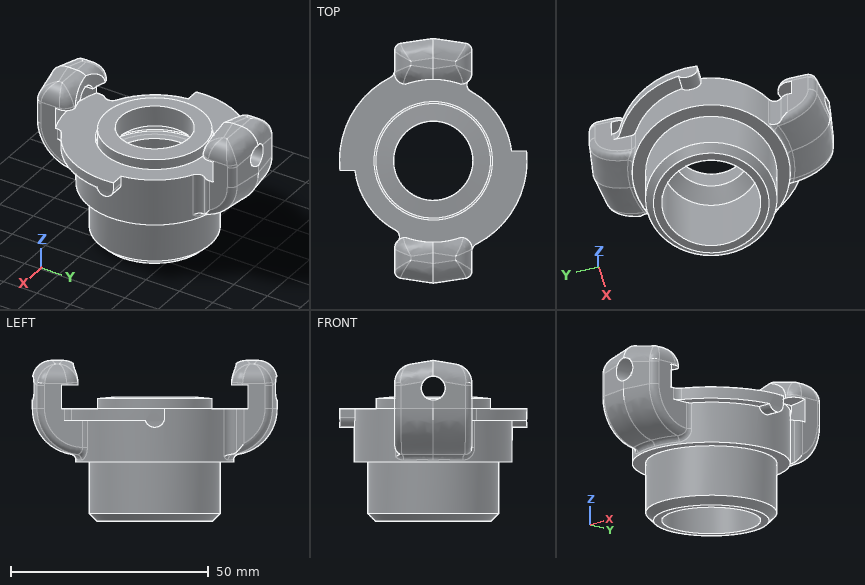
import cadquery as cq
import math

TOLERANCE = 0.01

SHOULDER_Z = 15.0
FLANGE_TOP_Z = 28.5
FLANGE_THICKNESS = 3.0
TOTAL_HEIGHT = 40.78

HUB_RADIUS = 20.0
SPIGOT_RADIUS = 33.25 / 2
SPIGOT_CHAMFER = 2.0
BORE_RADIUS = 12.5
SEAT_Z = 20.4
SEAT_CONE_RADIUS = 14.1
SEAT_CONE_DEPTH = 0.3
POCKET_RADIUS = 35.0 / 2
POCKET_TOP_Z = 26.0
MOUTH_RADIUS = 15.0

FLANGE_RADIUS = 47.5 / 2
FLANGE_BOTTOM_Z = FLANGE_TOP_Z - FLANGE_THICKNESS
NUB_RADIUS = 2.5
NUB_DEPTH = 4.7
NUB_Z = FLANGE_TOP_Z - NUB_DEPTH + NUB_RADIUS

CLAW_HALF_WIDTH = 9.8
CLAW_REACH = 31.0
CLAW_TIP_Y = -18.3
CLAW_ROOT_Y = -17.0
ROOT_ALLOWANCE = 2.0
CLAW_LEAN = 0.15
ROOF_SLOPE = 0.17
BACK_ARC_RADIUS = 11.7
BACK_ARC_Z = FLANGE_TOP_Z
CLAW_BOTTOM_Z = BACK_ARC_Z - BACK_ARC_RADIUS
ROOF_RADIUS = 5.0
OUTER_CORNER_RADIUS = 1.9
TIP_CORNER_RADIUS = 2.8
GAP_RADIUS = 25.5
TIP_TURNED_RADIUS = 20.6
GAP_TOP_Z = 34.5
GAP_MIDDLE_Z = (FLANGE_TOP_Z + GAP_TOP_Z) / 2
PIN_HOLE_RADIUS = 3.0
PIN_HOLE_Z = 33.7
HUB_BLEND_RADIUS = 1.4
FLANGE_BLEND_RADIUS = 2.0
RELIEF_HOLLOW_RADIUS = 2.0
RELIEF_ROUND_RADIUS = 3.0
RELIEF_START_X = -9.6

SEAL_RADIUS = 29.0 / 2
SEAL_FLANGE_RADIUS = 34.5 / 2
SEAL_BORE_RADIUS = 10.0
SEAL_RIM_Z = 31.1
SEAL_CREST_Z = 31.5
SEAL_BORE_END_Z = 25.55
SEAL_SKIRT_RADIUS = 15.6
SEAL_SKIRT_HEIGHT = 0.45



def oblique_prism(profile, direction):
    """Extrude a closed YZ outline along a direction that need not be square to it."""
    return cq.Workplane(cq.Solid.extrudeLinear(profile.val(), [], cq.Vector(*direction)))


def claw_half():
    """The +X half of a claw: back and tip face lean towards each other, and the roof falls to the side."""
    back_arc_end_y = -CLAW_REACH + BACK_ARC_RADIUS
    back = (
        cq.Workplane("YZ")
        .moveTo(-CLAW_REACH, TOTAL_HEIGHT)
        .lineTo(-CLAW_REACH, BACK_ARC_Z)
        .radiusArc((back_arc_end_y, CLAW_BOTTOM_Z), -BACK_ARC_RADIUS)
        .lineTo(CLAW_ROOT_Y, CLAW_BOTTOM_Z)
        .lineTo(CLAW_ROOT_Y, TOTAL_HEIGHT)
        .close()
    )
    lean = CLAW_LEAN * CLAW_HALF_WIDTH
    root_y = CLAW_ROOT_Y + ROOT_ALLOWANCE
    shoulder_z = TOTAL_HEIGHT - ROOF_RADIUS
    outer_roof = (
        cq.Workplane("YZ")
        .moveTo(-CLAW_REACH, 0)
        .lineTo(-CLAW_REACH, shoulder_z)
        .radiusArc((-CLAW_REACH + ROOF_RADIUS, TOTAL_HEIGHT), ROOF_RADIUS)
        .lineTo(CLAW_ROOT_Y, TOTAL_HEIGHT)
        .lineTo(CLAW_ROOT_Y, 0)
        .close()
    )
    inner_roof = (
        cq.Workplane("YZ")
        .moveTo(-CLAW_REACH, 0)
        .lineTo(-CLAW_REACH, TOTAL_HEIGHT)
        .lineTo(CLAW_TIP_Y - ROOF_RADIUS, TOTAL_HEIGHT)
        .radiusArc((CLAW_TIP_Y, shoulder_z), ROOF_RADIUS)
        .lineTo(CLAW_TIP_Y, GAP_MIDDLE_Z)
        .lineTo(root_y, GAP_MIDDLE_Z)
        .lineTo(root_y, 0)
        .close()
    )
    fall = ROOF_SLOPE * CLAW_HALF_WIDTH
    return (
        oblique_prism(back, (CLAW_HALF_WIDTH, lean, 0))
        .intersect(oblique_prism(outer_roof, (CLAW_HALF_WIDTH, lean, -fall)))
        .intersect(oblique_prism(inner_roof, (CLAW_HALF_WIDTH, -lean, -fall)))
    )


def claw_front_outline():
    """Gabled outline of the claw with rounded corners, as a prism along Y."""
    eaves_z = TOTAL_HEIGHT - ROOF_SLOPE * CLAW_HALF_WIDTH
    outline = (
        cq.Workplane("XZ")
        .moveTo(-CLAW_HALF_WIDTH, CLAW_BOTTOM_Z)
        .lineTo(CLAW_HALF_WIDTH, CLAW_BOTTOM_Z)
        .lineTo(CLAW_HALF_WIDTH, eaves_z)
        .lineTo(0, TOTAL_HEIGHT)
        .lineTo(-CLAW_HALF_WIDTH, eaves_z)
        .close()
        .extrude(CLAW_REACH)
    )
    for side in ("<X", ">X"):
        outline = outline.faces(side).edges("|Y and >Z").fillet(ROOF_RADIUS)
    return outline


def turned_gap():
    """Space turned about Z inside the claws: under the hooked tips and in front of them."""
    return (
        cq.Workplane("XZ")
        .moveTo(0, FLANGE_TOP_Z)
        .lineTo(GAP_RADIUS, FLANGE_TOP_Z)
        .lineTo(GAP_RADIUS, GAP_TOP_Z)
        .lineTo(TIP_TURNED_RADIUS, GAP_TOP_Z)
        .lineTo(TIP_TURNED_RADIUS, TOTAL_HEIGHT)
        .lineTo(0, TOTAL_HEIGHT)
        .close()
        .revolve(360, (0, 0, 0), (0, 1, 0))
    )


def claw():
    """One claw: rounded hook with its back corners, tip corners, turned gap and pin hole."""
    half = claw_half()
    body = half.union(half.mirror("YZ")).intersect(claw_front_outline())
    for side in ("<X", ">X"):
        body = body.faces(side).edges("|Z and <Y").fillet(OUTER_CORNER_RADIUS)
    side_tip_y = CLAW_TIP_Y - CLAW_LEAN * CLAW_HALF_WIDTH
    tip_corner = cq.selectors.BoxSelector(
        (-2 * CLAW_HALF_WIDTH, side_tip_y - TOLERANCE, FLANGE_TOP_Z),
        (2 * CLAW_HALF_WIDTH, side_tip_y + TOLERANCE, GAP_TOP_Z),
    )
    for side in ("<X", ">X"):
        body = body.faces(side).edges(tip_corner).fillet(TIP_CORNER_RADIUS)
    pin_hole = cq.Workplane("XZ").center(0, PIN_HOLE_Z).circle(PIN_HOLE_RADIUS).extrude(CLAW_REACH)
    return body.cut(turned_gap()).cut(pin_hole)


def relief():
    """S-shaped relief in the -X side of the claw root, running smoothly into the hub."""
    hub_y = -math.sqrt(HUB_RADIUS**2 - RELIEF_START_X**2)
    reach = (HUB_RADIUS + RELIEF_HOLLOW_RADIUS) / HUB_RADIUS
    hollow_x = RELIEF_START_X * reach
    hollow_y = hub_y * reach
    round_x = -CLAW_HALF_WIDTH + RELIEF_ROUND_RADIUS
    both_radii = RELIEF_HOLLOW_RADIUS + RELIEF_ROUND_RADIUS
    round_y = hollow_y - math.sqrt(both_radii**2 - (round_x - hollow_x) ** 2)
    share = RELIEF_HOLLOW_RADIUS / both_radii
    turn = (hollow_x + share * (round_x - hollow_x), hollow_y + share * (round_y - hollow_y))
    free_x = -CLAW_HALF_WIDTH - 2 * HUB_BLEND_RADIUS
    hub = cq.Workplane("XY").circle(HUB_RADIUS).extrude(FLANGE_TOP_Z)
    return (
        cq.Workplane("XY")
        .moveTo(RELIEF_START_X, hub_y)
        .radiusArc(turn, RELIEF_HOLLOW_RADIUS)
        .radiusArc((-CLAW_HALF_WIDTH, round_y), -RELIEF_ROUND_RADIUS)
        .lineTo(free_x, round_y)
        .lineTo(free_x, CLAW_ROOT_Y + HUB_BLEND_RADIUS)
        .close()
        .extrude(FLANGE_TOP_Z)
        .cut(hub)
    )


def flange_sector():
    """Flange sector from its nub on the +X side round to the claw, filleted into the claw side."""
    blend_x = CLAW_HALF_WIDTH + FLANGE_BLEND_RADIUS
    blend_y = -math.sqrt((FLANGE_RADIUS + FLANGE_BLEND_RADIUS) ** 2 - blend_x**2)
    touch = FLANGE_RADIUS / (FLANGE_RADIUS + FLANGE_BLEND_RADIUS)
    plate = (
        cq.Workplane("XY")
        .workplane(offset=FLANGE_BOTTOM_Z)
        .lineTo(FLANGE_RADIUS, 0)
        .radiusArc((touch * blend_x, touch * blend_y), FLANGE_RADIUS)
        .radiusArc((CLAW_HALF_WIDTH, blend_y), -FLANGE_BLEND_RADIUS)
        .lineTo(0, CLAW_ROOT_Y)
        .close()
        .extrude(FLANGE_THICKNESS)
    )
    disc = cq.Workplane("XY").circle(FLANGE_RADIUS).extrude(FLANGE_TOP_Z)
    nub = (
        cq.Workplane("YZ")
        .moveTo(NUB_RADIUS, FLANGE_TOP_Z)
        .lineTo(NUB_RADIUS, NUB_Z)
        .threePointArc((0, NUB_Z - NUB_RADIUS), (-NUB_RADIUS, NUB_Z))
        .lineTo(-NUB_RADIUS, FLANGE_TOP_Z)
        .close()
        .extrude(2 * FLANGE_RADIUS)
    )
    return plate.union(nub.intersect(disc))


def housing_bore():
    """Stepped bore: through hole, seat with a shallow cone, seal pocket and mouth."""
    return (
        cq.Workplane("XZ")
        .lineTo(BORE_RADIUS, 0)
        .lineTo(BORE_RADIUS, SEAT_Z - SEAT_CONE_DEPTH)
        .lineTo(SEAT_CONE_RADIUS, SEAT_Z)
        .lineTo(POCKET_RADIUS, SEAT_Z)
        .lineTo(POCKET_RADIUS, POCKET_TOP_Z)
        .lineTo(MOUTH_RADIUS, POCKET_TOP_Z)
        .lineTo(MOUTH_RADIUS, FLANGE_TOP_Z)
        .lineTo(0, FLANGE_TOP_Z)
        .close()
        .revolve(360, (0, 0, 0), (0, 1, 0))
    )


def is_claw_joint(edge):
    """True for an edge where the claw on the -Y side meets the hub wall between shoulder and flange top."""
    ends = (edge.startPoint(), edge.endPoint())
    on_wall = all(abs(math.hypot(end.x, end.y) - HUB_RADIUS) < TOLERANCE for end in ends)
    middle = edge.Center()
    between = SHOULDER_Z + TOLERANCE < middle.z < FLANGE_TOP_Z - TOLERANCE
    return on_wall and between and middle.y < -TOLERANCE


def half_housing():
    """The -Y half of the hub with its claw, relief and flange sector."""
    hub = (
        cq.Workplane("XY")
        .workplane(offset=SHOULDER_Z)
        .moveTo(-HUB_RADIUS, 0)
        .threePointArc((0, -HUB_RADIUS), (HUB_RADIUS, 0))
        .close()
        .extrude(FLANGE_TOP_Z - SHOULDER_Z)
    )
    body = hub.union(claw(), clean=False)
    joints = [edge for edge in body.edges().vals() if is_claw_joint(edge)]
    body = body.newObject(joints).fillet(HUB_BLEND_RADIUS)
    return body.cut(relief()).union(flange_sector(), clean=False).clean()


def make_housing():
    """Both hub halves on the chamfered spigot, with the stepped bore."""
    half = half_housing()
    opposite_half = half.rotate((0, 0, 0), (0, 0, 1), 180)
    spigot = cq.Workplane("XY").circle(SPIGOT_RADIUS).extrude(SHOULDER_Z)
    spigot = spigot.faces("<Z").chamfer(SPIGOT_CHAMFER)
    housing = half.union(opposite_half, clean=False).union(spigot, clean=False)
    return housing.cut(housing_bore(), clean=False).clean()


def make_seal():
    """Ring with a flange held in the pocket, a shallow conical top and an undercut bore."""
    return (
        cq.Workplane("XZ")
        .moveTo(SEAL_FLANGE_RADIUS, SEAT_Z)
        .lineTo(SEAL_FLANGE_RADIUS, POCKET_TOP_Z)
        .lineTo(SEAL_RADIUS, POCKET_TOP_Z)
        .lineTo(SEAL_RADIUS, SEAL_RIM_Z)
        .lineTo(SEAL_BORE_RADIUS, SEAL_CREST_Z)
        .lineTo(SEAL_BORE_RADIUS, SEAL_BORE_END_Z)
        .lineTo(SEAL_SKIRT_RADIUS, SEAT_Z + SEAL_SKIRT_HEIGHT)
        .lineTo(SEAL_SKIRT_RADIUS, SEAT_Z)
        .close()
        .revolve(360, (0, 0, 0), (0, 1, 0))
    )


housing = make_housing()
seal = make_seal()
result = cq.Compound.makeCompound([housing.val(), seal.val()])